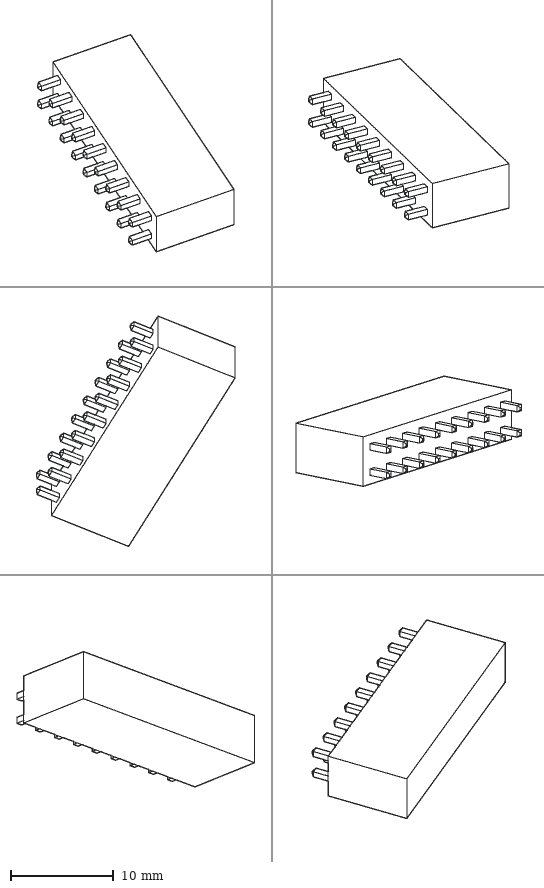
import cadquery as cq

body_length = 23.1
body_depth = 8.41
body_height = 5.0

pins_per_row = 9
row_count = 2
pitch = 2.55
pin_width = 0.65
pin_length = 2.29
tip_chamfer = 0.2

pin_face_y = (pin_length - body_depth) / 2


def make_housing():
    """Block that extends in +Y from the face carrying the pins."""
    housing = cq.Workplane("XY").box(body_length, body_depth, body_height)
    return housing.translate((0, pin_face_y + body_depth / 2, 0))


def make_pins():
    """Square posts pointing along -Y, with all four edges of each tip chamfered."""
    pin_plane = cq.Workplane("XZ", origin=(0, pin_face_y, 0))
    posts = (
        pin_plane.rarray(pitch, pitch, pins_per_row, row_count)
        .rect(pin_width, pin_width)
        .extrude(pin_length)
    )
    return posts.faces("<Y").edges().chamfer(tip_chamfer)


result = make_housing().union(make_pins())